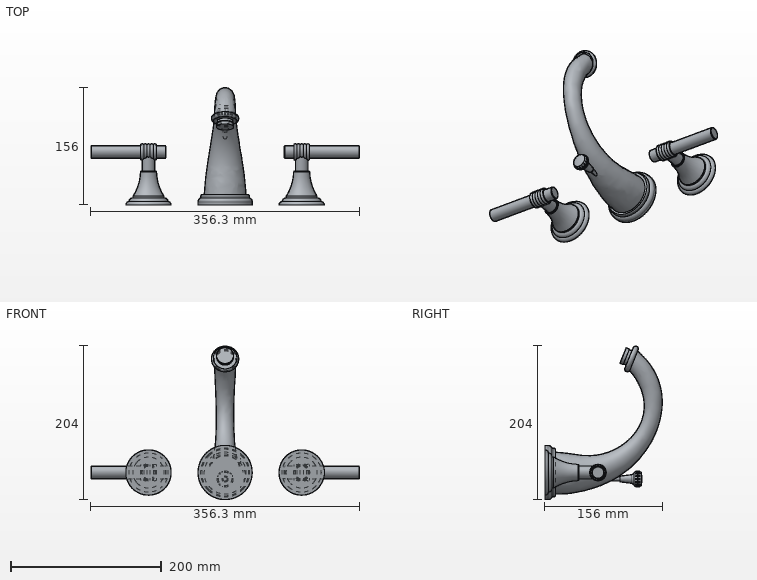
import cadquery as cq
import math


HANDLE_SPACING = 203.2
FLANGE_R = 30.2
FLANGE_STEP_R = 26.0
FLANGE_STEP_Y = 5.0
TIER_ROUND_R = 5.2
BELL_R = 20.6
BELL_BAND_START = 9.6
BELL_BAND_END = 11.8
TIER_TOP_R = BELL_R + 0.8
BELL_TIP_R = 10.8
BELL_TIP_Y = 45.0
BELL_TIP_CHAMFER = 0.8
BELL_MID_R = 13.3
BELL_MID_Y = 28.0
NECK_R = 8.5

LEVER_R = 8.4
LEVER_Y = 70.5
LEVER_OUTER = 76.555
LEVER_INNER = 23.2
LEVER_END_CHAMFER = 0.8
BEAD_COUNT = 5
BEAD_WIDTH = 4.2
BEAD_R = 11.0
BEAD_GROOVE_R = 10.0

BASE_R = 36.1
BASE_RIM = 4.0
BASE_SHOULDER_MID_R = 35.1
BASE_SHOULDER_MID_Y = 7.6
BASE_STEP_R = 32.4
BASE_STEP_START = 9.6
BASE_STEP_END = 11.8
BASE_TOP_R = 31.0
BASE_TOP_ROUND_R = 3.0
BASE_THICKNESS = 14.2

TUBE_DROP = 1.3
MOUTH_DROP = 0.7
STRAIGHT_END_Y = 40.8
LOWER_BEND_R = 108.0
UPPER_BEND_R = 78.3
BEND_CHANGE = 56.0
TUBE_MOUTH_R = 27.8
TUBE_STRAIGHT_END_R = 25.4
TUBE_LOWER_MID_R = 17.6
TUBE_BEND_CHANGE_R = 12.5
TUBE_THROAT_R = 11.95
TUBE_UPPER_MID_R = 13.2
TUBE_END_R = 14.3
THROAT_ANGLE = -5.0
UPPER_MID_ANGLE = 22.0
TUBE_END_ANGLE = 50.7

OUTLET_TILT = 22.0
COLLAR_R = 18.2
COLLAR_WIDTH = 7.2
COLLAR_CROWN = 2.6
OUTLET_NECK_R = 10.4
OUTLET_NECK_END = 7.5
OUTLET_R = 11.3
OUTLET_END = 12.2

KNOB_Z = -8.6
KNOB_ROD_R = 2.7
KNOB_ROD_START = 70.0
STEM_START = 99.8
STEM_START_R = 4.0
STEM_END = 115.2
STEM_END_R = 5.9
GRIP_NECK_R = 5.0
GRIP_R = 10.7
GRIP_EDGE_R = 8.9
GRIP_FULL_START = 118.6
GRIP_FULL_END = 128.0
GRIP_DOME = 0.8
GRIP_RIDGE_WIDTH = 1.2
FLUTE_COUNT = 16
FLUTE_R = 0.8


def turned(profile):
    """Revolve a closed (radius, Y) profile about the local Y axis."""
    return profile.close().revolve(360, (0, 0), (0, 1))


def handle_post():
    """Tiered flange, bell and neck, standing on the wall up to the lever axis."""
    profile = (
        cq.Workplane("XY")
        .lineTo(FLANGE_R, 0)
        .radiusArc((FLANGE_STEP_R, FLANGE_STEP_Y), -TIER_ROUND_R)
        .radiusArc((TIER_TOP_R, BELL_BAND_START), -TIER_ROUND_R)
        .lineTo(BELL_R, BELL_BAND_START)
        .lineTo(BELL_R, BELL_BAND_END)
        .threePointArc((BELL_MID_R, BELL_MID_Y), (BELL_TIP_R, BELL_TIP_Y - BELL_TIP_CHAMFER))
        .lineTo(BELL_TIP_R - BELL_TIP_CHAMFER, BELL_TIP_Y)
        .lineTo(NECK_R, BELL_TIP_Y)
        .lineTo(NECK_R, LEVER_Y)
        .lineTo(0, LEVER_Y)
    )
    return turned(profile)


def lever():
    """Round bar reaching outward along +X."""
    return (
        cq.Workplane("YZ", origin=(-LEVER_INNER, LEVER_Y, 0))
        .circle(LEVER_R)
        .extrude(LEVER_INNER + LEVER_OUTER)
        .faces("<X or >X")
        .chamfer(LEVER_END_CHAMFER)
    )


def beaded_band():
    """Row of rounded beads around the lever, centred on the handle axis."""
    half_width = BEAD_COUNT * BEAD_WIDTH / 2
    profile = (
        cq.Workplane("XY", origin=(0, LEVER_Y, 0))
        .moveTo(-half_width, 0)
        .lineTo(-half_width, BEAD_GROOVE_R)
    )
    for bead in range(BEAD_COUNT):
        start = -half_width + bead * BEAD_WIDTH
        profile = profile.threePointArc(
            (start + BEAD_WIDTH / 2, BEAD_R), (start + BEAD_WIDTH, BEAD_GROOVE_R)
        )
    return profile.lineTo(half_width, 0).close().revolve(360, (0, 0), (1, 0))


def make_handle(side):
    """One handle; side is +1 for the +X handle and -1 for the -X handle."""
    body = handle_post().union(lever()).union(beaded_band())
    if side < 0:
        body = body.mirror("YZ")
    return body.translate((side * HANDLE_SPACING / 2, 0, 0))


def spout_base():
    profile = (
        cq.Workplane("XY")
        .lineTo(BASE_R, 0)
        .lineTo(BASE_R, BASE_RIM)
        .threePointArc((BASE_SHOULDER_MID_R, BASE_SHOULDER_MID_Y), (BASE_STEP_R, BASE_STEP_START))
        .lineTo(BASE_STEP_R, BASE_STEP_END)
        .radiusArc((BASE_TOP_R, BASE_THICKNESS), -BASE_TOP_ROUND_R)
        .lineTo(0, BASE_THICKNESS)
    )
    return turned(profile)


LOWER_CENTRE_Z = LOWER_BEND_R - TUBE_DROP
CENTRE_SHIFT = LOWER_BEND_R - UPPER_BEND_R
UPPER_CENTRE_Y = STRAIGHT_END_Y + CENTRE_SHIFT * math.sin(math.radians(BEND_CHANGE))
UPPER_CENTRE_Z = LOWER_CENTRE_Z - CENTRE_SHIFT * math.cos(math.radians(BEND_CHANGE))


def lower_bend(angle):
    """Centre and heading, as (y, z, heading), on the lower bend; 0 degrees is its start."""
    turn = math.radians(angle)
    y = STRAIGHT_END_Y + LOWER_BEND_R * math.sin(turn)
    z = LOWER_CENTRE_Z - LOWER_BEND_R * math.cos(turn)
    return y, z, angle


def upper_bend(angle):
    """Centre and heading on the upper bend; 0 degrees is its furthest point in +Y."""
    turn = math.radians(angle)
    y = UPPER_CENTRE_Y + UPPER_BEND_R * math.cos(turn)
    z = UPPER_CENTRE_Z + UPPER_BEND_R * math.sin(turn)
    return y, z, angle + 90


OUTLET_HEADING = 180 - OUTLET_TILT
OUTLET_Y, OUTLET_Z, _ = upper_bend(TUBE_END_ANGLE)


def tube_section(station, radius):
    """Circular wire at a station, square to its heading (degrees from +Y towards +Z)."""
    y, z, heading = station
    turn = math.radians(heading)
    plane = cq.Plane(
        origin=(0, y, z),
        xDir=(-1, 0, 0),
        normal=(0, math.cos(turn), math.sin(turn)),
    )
    return cq.Workplane(plane).circle(radius).wire().val()


def spout_tube():
    """Smooth loft that narrows to the throat and opens slightly at the collar."""
    sections = [
        tube_section((BASE_THICKNESS, -MOUTH_DROP, 0), TUBE_MOUTH_R),
        tube_section(lower_bend(0), TUBE_STRAIGHT_END_R),
        tube_section(lower_bend(BEND_CHANGE / 2), TUBE_LOWER_MID_R),
        tube_section(lower_bend(BEND_CHANGE), TUBE_BEND_CHANGE_R),
        tube_section(upper_bend(THROAT_ANGLE), TUBE_THROAT_R),
        tube_section(upper_bend(UPPER_MID_ANGLE), TUBE_UPPER_MID_R),
        tube_section((OUTLET_Y, OUTLET_Z, OUTLET_HEADING), TUBE_END_R),
    ]
    return cq.Workplane(obj=cq.Solid.makeLoft(sections))


def spout_outlet():
    """Rounded collar, short neck and outlet ring at the end of the tube."""
    turn = math.radians(OUTLET_HEADING)
    plane = cq.Plane(
        origin=(0, OUTLET_Y, OUTLET_Z),
        xDir=(1, 0, 0),
        normal=(0, -math.sin(turn), math.cos(turn)),
    )
    half_width = COLLAR_WIDTH / 2
    collar_side_r = COLLAR_R - COLLAR_CROWN
    profile = (
        cq.Workplane(plane)
        .moveTo(0, -half_width)
        .lineTo(collar_side_r, -half_width)
        .threePointArc((COLLAR_R, 0), (collar_side_r, half_width))
        .lineTo(OUTLET_NECK_R, half_width)
        .lineTo(OUTLET_NECK_R, OUTLET_NECK_END)
        .lineTo(OUTLET_R, OUTLET_NECK_END)
        .lineTo(OUTLET_R, OUTLET_END)
        .lineTo(0, OUTLET_END)
    )
    return turned(profile)


def diverter_knob():
    """Rod, tapered stem and fluted grip with a plain ridge, parallel to Y."""
    grip_middle = (GRIP_FULL_START + GRIP_FULL_END) / 2
    dome_r = (GRIP_EDGE_R**2 + GRIP_DOME**2) / (2 * GRIP_DOME)
    profile = (
        cq.Workplane("XY", origin=(0, 0, KNOB_Z))
        .moveTo(0, KNOB_ROD_START)
        .lineTo(KNOB_ROD_R, KNOB_ROD_START)
        .lineTo(KNOB_ROD_R, STEM_START)
        .lineTo(STEM_START_R, STEM_START)
        .lineTo(STEM_END_R, STEM_END)
        .radiusArc((GRIP_EDGE_R, GRIP_FULL_START), GRIP_NECK_R)
        .threePointArc((GRIP_R, grip_middle), (GRIP_EDGE_R, GRIP_FULL_END))
        .radiusArc((0, GRIP_FULL_END + GRIP_DOME), -dome_r)
    )
    flutes = (
        cq.Workplane("XZ", origin=(0, GRIP_FULL_START, KNOB_Z))
        .polarArray(GRIP_R, 0, 360, FLUTE_COUNT)
        .circle(FLUTE_R)
        .extrude(GRIP_FULL_START - GRIP_FULL_END)
    )
    ridge = (
        cq.Workplane("XZ", origin=(0, grip_middle - GRIP_RIDGE_WIDTH / 2, KNOB_Z))
        .circle(GRIP_R)
        .extrude(-GRIP_RIDGE_WIDTH)
    )
    return turned(profile).cut(flutes).union(ridge)


def make_spout():
    return spout_base().union(spout_tube()).union(spout_outlet()).union(diverter_knob())


handles = [make_handle(side) for side in (-1, 1)]
spout = make_spout()

result = cq.Compound.makeCompound([spout.val(), *[handle.val() for handle in handles]])